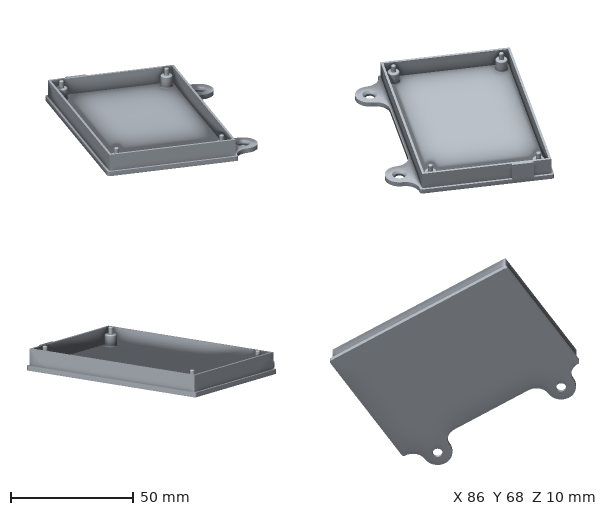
import cadquery as cq

plate_length = 86.0
plate_thickness = 2.0
corner_radius = 0.95
ear_radius = 6.0
total_depth = 68.0
plate_depth = total_depth - 2 * ear_radius

ear_x = plate_length / 2 - corner_radius - 2 * ear_radius
ear_y = plate_depth / 2 + ear_radius
ear_hole_diameter = 4.0
countersink_diameter = 6.0
countersink_angle = 90

wall_length = 84.0
wall_depth = 54.0
cavity_length = 82.0
cavity_depth = 52.0
wall_top = 9.0

pad_length = 9.0
pad_front_gap = 8.6

total_height = 10.0
post_spacing_x = 74.9
post_spacing_y = 45.1
post_diameter = 5.0
post_top = 7.0
post_edge_radius = 0.5
pin_diameter = 2.0
pin_tip_radius = 0.4


def ear(side):
    """Flared ear on the +Y edge, at +X or -X according to side."""
    edge_y = plate_depth / 2
    diagonal = ear_radius * 0.5 ** 0.5
    flare_x = 2 * ear_radius
    outline = (
        cq.Workplane("XY")
        .moveTo(-flare_x, edge_y)
        .threePointArc((-flare_x + diagonal, ear_y - diagonal), (-ear_radius, ear_y))
        .threePointArc((0, ear_y + ear_radius), (ear_radius, ear_y))
        .threePointArc((flare_x - diagonal, ear_y - diagonal), (flare_x, edge_y))
        .lineTo(flare_x, 0)
        .lineTo(-flare_x, 0)
        .close()
    )
    return outline.extrude(plate_thickness).translate((side * ear_x, 0, 0))


def base_plate():
    plate = (
        cq.Workplane("XY")
        .box(plate_length, plate_depth, plate_thickness, centered=(True, True, False))
        .edges("|Z")
        .fillet(corner_radius)
    )
    for side in (-1, 1):
        plate = plate.union(ear(side))
    return (
        plate.faces(">Z")
        .workplane(origin=(0, 0, 0))
        .pushPoints([(-ear_x, ear_y), (ear_x, ear_y)])
        .cskHole(ear_hole_diameter, countersink_diameter, countersink_angle)
    )


def rim_wall():
    return (
        cq.Workplane("XY")
        .workplane(offset=plate_thickness)
        .rect(wall_length, wall_depth)
        .rect(cavity_length, cavity_depth)
        .extrude(wall_top - plate_thickness)
    )


def side_pad():
    pad_width = (plate_length - cavity_length) / 2
    return (
        cq.Workplane("XY")
        .box(pad_width, pad_length, wall_top - plate_thickness, centered=False)
        .translate((-plate_length / 2, -plate_depth / 2 + pad_front_gap, plate_thickness))
    )


def post():
    """Post with a flared foot, a rounded shoulder and a round-edged pin, standing on the plate."""
    radius = post_diameter / 2
    pin_radius = pin_diameter / 2
    post_mid = post_edge_radius * (1 - 0.5 ** 0.5)
    tip_mid = pin_tip_radius * (1 - 0.5 ** 0.5)
    profile = (
        cq.Workplane("XZ")
        .moveTo(0, plate_thickness)
        .lineTo(radius + post_edge_radius, plate_thickness)
        .threePointArc(
            (radius + post_mid, plate_thickness + post_mid),
            (radius, plate_thickness + post_edge_radius),
        )
        .lineTo(radius, post_top - post_edge_radius)
        .threePointArc((radius - post_mid, post_top - post_mid), (radius - post_edge_radius, post_top))
        .lineTo(pin_radius, post_top)
        .lineTo(pin_radius, total_height - pin_tip_radius)
        .threePointArc(
            (pin_radius - tip_mid, total_height - tip_mid),
            (pin_radius - pin_tip_radius, total_height),
        )
        .lineTo(0, total_height)
        .close()
    )
    return profile.revolve(360, (0, 0, 0), (0, 1, 0))


result = base_plate().union(rim_wall()).union(side_pad())
for x_side in (-1, 1):
    for y_side in (-1, 1):
        place = (x_side * post_spacing_x / 2, y_side * post_spacing_y / 2, 0)
        result = result.union(post().translate(place))